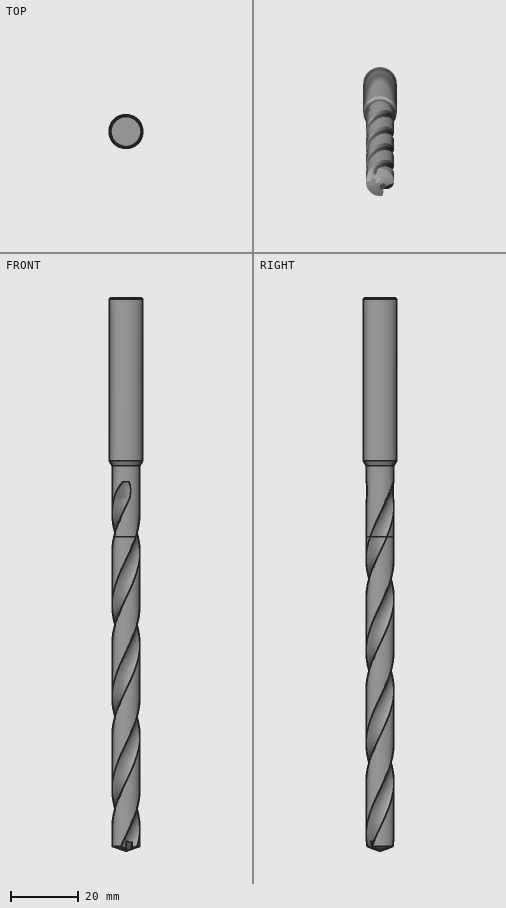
import cadquery as cq
import math


total_length = 165.0
shank_bottom_z = 116.5
shoulder_height = 1.5
joint_z = 93.7
flute_end_z = 105.2
run_out_height = 5.0

shank_diameter = 10.0
drill_diameter = 8.3
shank_chamfer = 0.5
point_angle = 140.0

flute_count = 2
flute_pitch = 54.8
flute_radius = 3.78
flute_offset = 6.1
flute_angle_at_joint = 172.0

run_out_drift = 3.0
run_out_rise = 1.1

notch_gap = 0.4
notch_slope = 35.0
notch_left = -0.7
notch_right = 1.2
notch_height = 3.0
notch_turn = 18.0

shank_radius = shank_diameter / 2
drill_radius = drill_diameter / 2
point_height = drill_radius / math.tan(math.radians(point_angle / 2))
neck_top_z = shank_bottom_z - shoulder_height


def flute_angle(z):
    """Direction of the first flute at height z, in degrees from +X."""
    return flute_angle_at_joint + 360 * (z - joint_z) / flute_pitch


def evenly_spaced(first_angle):
    """One direction for each flute, starting at first_angle."""
    return [first_angle + 360 * i / flute_count for i in range(flute_count)]


def revolved(profile):
    """Solid of revolution about Z from (radius, z) points."""
    return cq.Workplane("XZ").polyline(profile).close().revolve(360, (0, 0, 0), (0, 1, 0))


def flute_cutter(direction, bottom_z, top_z):
    """Twisted round bar that starts in the given direction at bottom_z."""
    twist = flute_angle(top_z) - flute_angle(bottom_z)
    return (
        cq.Workplane()
        .workplane(offset=bottom_z)
        .transformed(rotate=(0, 0, direction))
        .pushPoints([(flute_offset, 0)])
        .circle(flute_radius)
        .twistExtrude(top_z - bottom_z, twist)
    )


def run_out_cutter(direction):
    """Straight slanting bar that carries a flute on and lifts it out of the neck."""
    outline = cq.Workplane().center(flute_offset, 0).circle(flute_radius).wires().val()
    slant = cq.Vector(run_out_rise, run_out_drift, run_out_height)
    bar = cq.Solid.extrudeLinear(cq.Face.makeFromWires(outline), slant)
    return cq.Workplane(bar).rotate((0, 0, 0), (0, 0, 1), direction).translate((0, 0, flute_end_z))


def notch_cutter(direction):
    """Block with one sloping side that thins the web next to the tip."""
    top_gap = notch_gap + notch_height * math.tan(math.radians(notch_slope))
    profile = [
        (-notch_gap, 0),
        (-top_gap, notch_height),
        (-drill_diameter, notch_height),
        (-drill_diameter, 0),
    ]
    return (
        cq.Workplane("YZ")
        .workplane(offset=notch_left)
        .polyline(profile)
        .close()
        .extrude(notch_right - notch_left)
        .rotate((0, 0, 0), (0, 0, 1), direction)
    )


def make_cutting_part():
    body = revolved([(0, 0), (drill_radius, point_height), (drill_radius, joint_z), (0, joint_z)])
    for direction in evenly_spaced(flute_angle(0)):
        body = body.cut(flute_cutter(direction, 0, joint_z))
    for direction in evenly_spaced(notch_turn):
        body = body.cut(notch_cutter(direction))
    return body


def make_shank_part():
    body = revolved([
        (0, joint_z),
        (drill_radius, joint_z),
        (drill_radius, neck_top_z),
        (shank_radius, shank_bottom_z),
        (shank_radius, total_length - shank_chamfer),
        (shank_radius - shank_chamfer, total_length),
        (0, total_length),
    ])
    for direction in evenly_spaced(flute_angle(joint_z)):
        body = body.cut(flute_cutter(direction, joint_z, flute_end_z))
    for direction in evenly_spaced(flute_angle(flute_end_z)):
        body = body.cut(run_out_cutter(direction))
    return body


cutting_part = make_cutting_part()
shank_part = make_shank_part()

result = cq.Compound.makeCompound([cutting_part.solids().val(), shank_part.solids().val()])